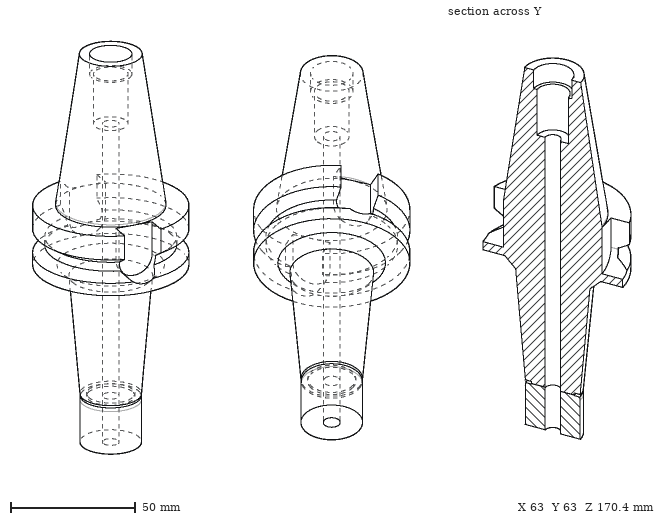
import cadquery as cq


TAPER_LENGTH = 65.5
GAUGE_DIAMETER = 44.5
GAUGE_RADIUS = GAUGE_DIAMETER / 2
TAPER_RATIO = 7 / 24
TAPER_TIP_RADIUS = GAUGE_RADIUS - TAPER_LENGTH * TAPER_RATIO / 2

FLANGE_RADIUS = 31.5
FLANGE_TOP_Z = -1.0
FLANGE_BOTTOM_Z = -27.1
GROOVE_RADIUS = 26.5
GROOVE_CENTER_Z = -16.5
GROOVE_FLOOR_WIDTH = 4.0
GROOVE_MOUTH_WIDTH = 10.2

SLOT_WIDTH = 16.0
SLOT_BOTTOM_Z = -23.0
SLOT_FLOOR_SPACING = 44.5

NECK_RADIUS = 16.9
NECK_CONE_HEIGHT = 4.8
NECK_END_RADIUS = 12.5
NECK_END_Z = -83.7

SPIGOT_RADIUS = 9.7
SPIGOT_LENGTH = 1.0
NUT_RADIUS = 12.5
OVERALL_LENGTH = 170.4
NUT_TOP_Z = NECK_END_Z - SPIGOT_LENGTH
NUT_HEIGHT = OVERALL_LENGTH - TAPER_LENGTH + NUT_TOP_Z
NUT_BEVEL_HEIGHT = 1.5
NUT_BEVEL_INSET = 0.2

COUNTERBORE_RADIUS = 8.5
COUNTERBORE_DEPTH = 8.9
THREAD_BORE_RADIUS = 7.0
THREAD_BORE_DEPTH = 30.7
THROUGH_BORE_RADIUS = 3.4


def holder_blank():
    """Revolve the outer profile of the shank, flange and neck."""
    half_floor = GROOVE_FLOOR_WIDTH / 2
    half_mouth = GROOVE_MOUTH_WIDTH / 2
    profile = [
        (0, TAPER_LENGTH),
        (TAPER_TIP_RADIUS, TAPER_LENGTH),
        (GAUGE_RADIUS, 0),
        (GAUGE_RADIUS, FLANGE_TOP_Z),
        (FLANGE_RADIUS, FLANGE_TOP_Z),
        (FLANGE_RADIUS, GROOVE_CENTER_Z + half_mouth),
        (GROOVE_RADIUS, GROOVE_CENTER_Z + half_floor),
        (GROOVE_RADIUS, GROOVE_CENTER_Z - half_floor),
        (FLANGE_RADIUS, GROOVE_CENTER_Z - half_mouth),
        (FLANGE_RADIUS, FLANGE_BOTTOM_Z),
        (NECK_RADIUS + NECK_CONE_HEIGHT, FLANGE_BOTTOM_Z),
        (NECK_RADIUS, FLANGE_BOTTOM_Z - NECK_CONE_HEIGHT),
        (NECK_END_RADIUS, NECK_END_Z),
        (SPIGOT_RADIUS, NECK_END_Z),
        (SPIGOT_RADIUS, NUT_TOP_Z),
        (0, NUT_TOP_Z),
    ]
    return cq.Workplane("XZ").polyline(profile).close().revolve(360, (0, 0), (0, 1))


def drive_slot(side):
    """Round-bottomed slot cutter on the +X (side = 1) or -X (side = -1) side."""
    half_width = SLOT_WIDTH / 2
    arc_center_z = SLOT_BOTTOM_Z + half_width
    return (
        cq.Workplane("YZ", origin=(side * SLOT_FLOOR_SPACING / 2, 0, 0))
        .moveTo(-half_width, FLANGE_TOP_Z)
        .lineTo(-half_width, arc_center_z)
        .threePointArc((0, SLOT_BOTTOM_Z), (half_width, arc_center_z))
        .lineTo(half_width, FLANGE_TOP_Z)
        .close()
        .extrude(side * FLANGE_RADIUS)
    )


def axial_bore(radius, depth):
    """Round cutter going down from the taper tip."""
    return cq.Workplane("XY", origin=(0, 0, TAPER_LENGTH)).circle(radius).extrude(-depth)


def make_holder():
    holder = holder_blank()
    for side in (-1, 1):
        holder = holder.cut(drive_slot(side))
    holder = holder.cut(axial_bore(COUNTERBORE_RADIUS, COUNTERBORE_DEPTH))
    holder = holder.cut(axial_bore(THREAD_BORE_RADIUS, THREAD_BORE_DEPTH))
    return holder.cut(axial_bore(THROUGH_BORE_RADIUS, OVERALL_LENGTH))


def make_nut():
    """Round nut with a slight bevel at its top and the through bore."""
    nut = cq.Workplane("XY", origin=(0, 0, NUT_TOP_Z)).circle(NUT_RADIUS).extrude(-NUT_HEIGHT)
    nut = nut.faces(">Z").chamfer(NUT_BEVEL_HEIGHT, NUT_BEVEL_INSET)
    return nut.cut(axial_bore(THROUGH_BORE_RADIUS, OVERALL_LENGTH))


holder = make_holder()
nut = make_nut()

result = cq.Compound.makeCompound([holder.val(), nut.val()])